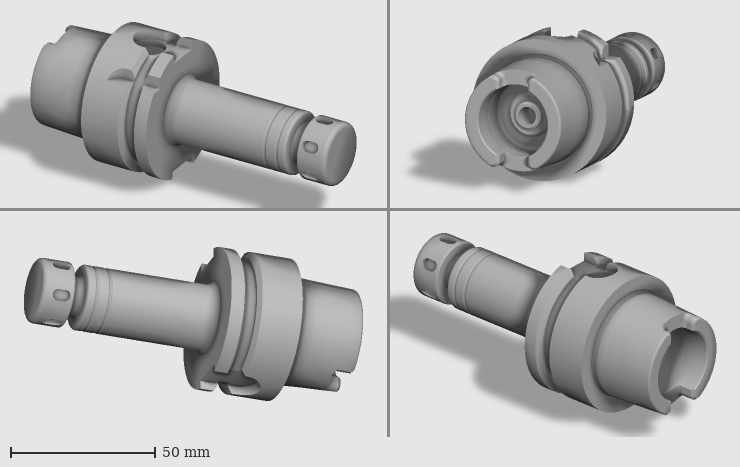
import cadquery as cq
import math


shank_end = 23
shank_end_radius = 19.1
taper_slope = 0.05
mouth_round = 0.8
relief_start = 23.7
relief_radius = 18.9
undercut_round = 0.6
undercut_depth = 0.2

flange_start = 25.0
flange_end = 51.1
flange_diameter = 50.0
flange_radius = flange_diameter / 2
grip_start = 39.7
grip_end = 46.2
grip_diameter = 43.1
grip_radius = grip_diameter / 2
grip_cone_length = 1.3
grip_flank_angle = 30
grip_cone_depth = grip_cone_length * math.tan(math.radians(90 - grip_flank_angle))

nose_radius = 11.5
nose_start = 53.7
nose_end = 98.9
flare_radius = 12.9
nose_groove_starts = [89.9, 94.8]
nose_groove_width = 1.4
nose_groove_depth = 0.3
nose_end_round = 1.0
neck_radius = 7.0
neck_fillet = 1.0

nut_start = 103.5
total_length = 115
nut_radius = 11.5
nut_back_round = 0.7
nut_front_round = 1.7
nut_slot_count = 6
nut_slot_center = 108.2
nut_slot_length = 6.4
nut_slot_width = 3.9
nut_slot_floor = 9.3

bore_radius = 12.9
rear_bore_radius = 12.8
rear_bore_start = 9.8
bore_floor = 18.4
bore_mouth_chamfer = 0.5
bore_fillet = 1.4
collar_radius = 8
collar_start = 16.1
collar_chamfer = 1.0
tube_radius = 5.0
tube_start = 13.8
tube_chamfer = 0.7
tube_bore_radius = 3.2
tube_bore_end = 23
coolant_radius = 1.7
coolant_end = 46
pilot_radius = 0.86
pilot_end = 57.5

mouth_notch_half_width = 5.3
mouth_notch_depths = {1: 4.3, -1: 7.4}
mouth_notch_shoulder = 16.2
mouth_notch_round = 2.2
mouth_notch_floor_fillet = 1.5
mouth_notch_chamfer = 1.0

keyway_floor = 21.0
upper_keyway_width = 12.1
lower_keyway_width = 14.0
keyway_end = 32.0
chip_pocket_radius = 5.5
chip_pocket_floor = 18.6
orientation_notch_offset = 15.4
orientation_cutter_radius = upper_keyway_width / 2
orientation_cutter_x = 37.7

clearance = 5.8


def shank_radius(x):
    return shank_end_radius - taper_slope * (shank_end - x)


def revolve_about_axis(profile):
    return profile.close().revolve(360, (0, 0, 0), (1, 0, 0))


def add_arc(profile, center, radius, start_angle, end_angle):
    """Continue the profile along an arc from its start angle to its end angle."""
    def point(angle):
        turn = math.radians(angle)
        return center[0] + radius * math.cos(turn), center[1] + radius * math.sin(turn)

    return profile.threePointArc(point((start_angle + end_angle) / 2), point(end_angle))


def shank_and_flange_profile():
    """Outer half section from the shank mouth to the rear edge of the flange."""
    cone_bottom = flange_radius - grip_cone_depth
    undercut_x = flange_start + undercut_depth - undercut_round
    undercut_center = (undercut_x, relief_radius + undercut_round)
    undercut_exit_angle = 360 + math.degrees(math.acos(1 - undercut_depth / undercut_round))
    mouth_radius = shank_radius(mouth_round)
    profile = cq.Workplane("XY").moveTo(0, 0).lineTo(0, mouth_radius - mouth_round)
    profile = add_arc(profile, (mouth_round, mouth_radius - mouth_round), mouth_round, 180, 90)
    profile = profile.lineTo(shank_end, shank_end_radius).lineTo(relief_start, relief_radius)
    profile = profile.lineTo(undercut_x, relief_radius)
    profile = add_arc(profile, undercut_center, undercut_round, 270, undercut_exit_angle)
    return (
        profile.lineTo(flange_start, flange_radius)
        .lineTo(grip_start, flange_radius)
        .lineTo(grip_start + grip_cone_length, cone_bottom)
        .lineTo(grip_start + grip_cone_length, grip_radius)
        .lineTo(grip_end - grip_cone_length, grip_radius)
        .lineTo(grip_end - grip_cone_length, cone_bottom)
        .lineTo(grip_end, flange_radius)
        .lineTo(flange_end, flange_radius)
    )


def add_nose_and_nut(profile):
    """Continue the half section along the nose, neck and nut back to the axis."""
    flare_length = nose_start - flange_end
    flare_height = flare_radius - nose_radius
    flare_arc = (flare_length**2 + flare_height**2) / (2 * flare_height)
    middle_rise = flare_arc - math.sqrt(flare_arc**2 - (flare_length / 2) ** 2)
    profile = (
        profile.lineTo(flange_end, flare_radius)
        .threePointArc((nose_start - flare_length / 2, nose_radius + middle_rise), (nose_start, nose_radius))
    )
    for start in nose_groove_starts:
        profile = (
            profile.lineTo(start, nose_radius)
            .threePointArc(
                (start + nose_groove_width / 2, nose_radius - nose_groove_depth),
                (start + nose_groove_width, nose_radius),
            )
        )
    profile = profile.lineTo(nose_end - nose_end_round, nose_radius)
    profile = add_arc(
        profile, (nose_end - nose_end_round, nose_radius - nose_end_round), nose_end_round, 90, 0
    )
    profile = profile.lineTo(nose_end, neck_radius + neck_fillet)
    profile = add_arc(
        profile, (nose_end + neck_fillet, neck_radius + neck_fillet), neck_fillet, 180, 270
    )
    profile = profile.lineTo(nut_start, neck_radius).lineTo(nut_start, nut_radius - nut_back_round)
    profile = add_arc(
        profile, (nut_start + nut_back_round, nut_radius - nut_back_round), nut_back_round, 180, 90
    )
    profile = profile.lineTo(total_length - nut_front_round, nut_radius)
    profile = add_arc(
        profile, (total_length - nut_front_round, nut_radius - nut_front_round), nut_front_round, 90, 0
    )
    return profile.lineTo(total_length, 0)


def shank_bore():
    """Hollow of the shank, leaving the collar and the coolant tube standing."""
    profile = (
        cq.Workplane("XY")
        .moveTo(-clearance, 0)
        .lineTo(-clearance, bore_radius + bore_mouth_chamfer)
        .lineTo(0, bore_radius + bore_mouth_chamfer)
        .lineTo(bore_mouth_chamfer, bore_radius)
        .lineTo(rear_bore_start, bore_radius)
        .lineTo(rear_bore_start, rear_bore_radius)
        .lineTo(bore_floor - bore_fillet, rear_bore_radius)
    )
    profile = add_arc(
        profile, (bore_floor - bore_fillet, rear_bore_radius - bore_fillet), bore_fillet, 90, 0
    )
    profile = (
        profile.lineTo(bore_floor, collar_radius)
        .lineTo(collar_start + collar_chamfer, collar_radius)
        .lineTo(collar_start, collar_radius - collar_chamfer)
        .lineTo(collar_start, tube_radius)
        .lineTo(tube_start + tube_chamfer, tube_radius)
        .lineTo(tube_start, tube_radius - tube_chamfer)
        .lineTo(tube_start, tube_bore_radius)
        .lineTo(tube_bore_end, tube_bore_radius)
        .lineTo(tube_bore_end, coolant_radius)
        .lineTo(coolant_end, coolant_radius)
        .lineTo(coolant_end, pilot_radius)
        .lineTo(pilot_end - pilot_radius, pilot_radius)
        .lineTo(pilot_end, 0)
    )
    return revolve_about_axis(profile)


def mouth_notch(side):
    """Notch through one wall of the shank mouth, on the +Z (1) or -Z (-1) side.

    The walls flare outward in arcs to a level shoulder, and the mouth edge is chamfered.
    """
    depth = mouth_notch_depths[side]
    half = mouth_notch_half_width
    arc_start = mouth_notch_shoulder - mouth_notch_round
    inner_height = rear_bore_radius / 2
    outer_height = flange_radius
    shoulder_end = flange_radius

    def outline(x):
        profile = (
            cq.Workplane("YZ", origin=(x, 0, 0))
            .moveTo(-half, inner_height)
            .lineTo(half, inner_height)
            .lineTo(half, arc_start)
        )
        profile = add_arc(profile, (half + mouth_notch_round, arc_start), mouth_notch_round, 180, 90)
        profile = (
            profile.lineTo(shoulder_end, mouth_notch_shoulder)
            .lineTo(shoulder_end, outer_height)
            .lineTo(-shoulder_end, outer_height)
            .lineTo(-shoulder_end, mouth_notch_shoulder)
            .lineTo(-half - mouth_notch_round, mouth_notch_shoulder)
        )
        profile = add_arc(profile, (-half - mouth_notch_round, arc_start), mouth_notch_round, 90, 0)
        return profile.close()

    cutter = outline(0).extrude(depth).faces(">X").edges().fillet(mouth_notch_floor_fillet)
    mouth = outline(mouth_notch_chamfer).extrude(-mouth_notch_chamfer, taper=-45)
    cutter = cutter.union(mouth)
    return cutter if side > 0 else cutter.mirror("XY")


def keyway(width, side):
    """Round-ended keyway with a flat floor, open toward the nose."""
    radius = width / 2
    center_x = keyway_end + radius
    length = flange_end + clearance - center_x
    height = flange_radius + clearance - keyway_floor
    cutter = (
        cq.Workplane("XY", origin=(0, 0, keyway_floor))
        .center(center_x, 0)
        .circle(radius)
        .extrude(height)
        .union(
            cq.Workplane("XY", origin=(0, 0, keyway_floor))
            .center(center_x + length / 2, 0)
            .rect(length, width)
            .extrude(height)
        )
    )
    return cutter if side > 0 else cutter.mirror("XY")


def chip_pocket():
    return (
        cq.Workplane("XY", origin=(keyway_end + upper_keyway_width / 2, 0, chip_pocket_floor))
        .circle(chip_pocket_radius)
        .extrude(flange_radius - chip_pocket_floor)
    )


def orientation_notch():
    """Milled step at the -Y +Z corner of the flange with one rounded end."""
    center_y = -orientation_notch_offset - orientation_cutter_radius
    length = flange_end + clearance - orientation_cutter_x
    plane = cq.Workplane("XY", origin=(orientation_cutter_x, center_y, orientation_notch_offset))
    round_end = plane.circle(orientation_cutter_radius).extrude(flange_radius)
    run = plane.center(length / 2, 0).rect(length, 2 * orientation_cutter_radius).extrude(flange_radius)
    return round_end.union(run)


def nut_slot(angle):
    """Flat-floored spanner slot, turned about the axis from the +Z side."""
    return (
        cq.Workplane("XY", origin=(nut_slot_center, 0, nut_slot_floor))
        .slot2D(nut_slot_length, nut_slot_width)
        .extrude(nut_radius)
        .rotate((0, 0, 0), (1, 0, 0), angle)
    )


result = revolve_about_axis(add_nose_and_nut(shank_and_flange_profile()))
result = result.cut(shank_bore())

for notch_side in mouth_notch_depths:
    result = result.cut(mouth_notch(notch_side))

result = result.cut(keyway(upper_keyway_width, 1))
result = result.cut(keyway(lower_keyway_width, -1))
result = result.cut(chip_pocket())
result = result.cut(orientation_notch())

for index in range(nut_slot_count):
    result = result.cut(nut_slot(index * 360 / nut_slot_count))